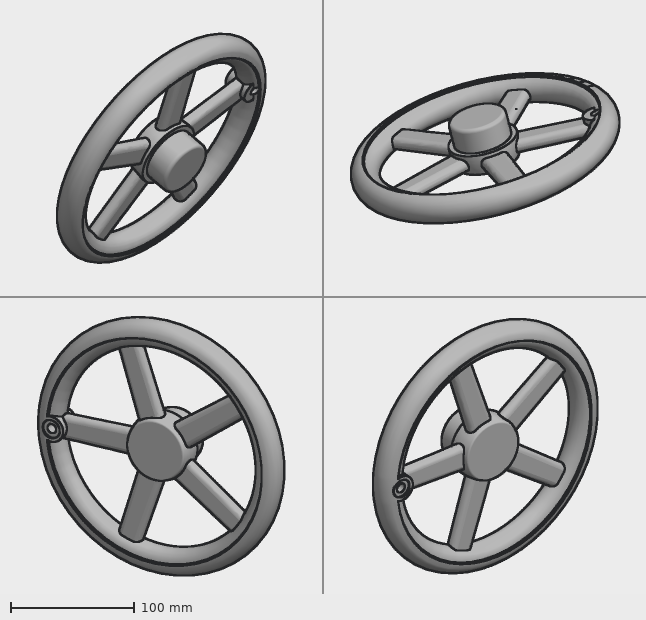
import cadquery as cq
import math

wheel_radius = 112.0
rim_outer_round = 12.5
rim_inner_round = 11.2
rim_step_width = 1.0
rim_center_radius = wheel_radius - rim_outer_round
rim_width = 2 * rim_outer_round
mid_x = rim_outer_round

hub_front_x = 1.8
hub_rear_x = 42.0
hub_face_radius = 26.0
hub_shoulder_radius = 28.7
hub_shoulder_x = 21.0
hub_bulge_x = 7.8
hub_bulge_radius = 27.8
hub_front_fillet = 1.5
boss_radius = 48.0 / 2
boss_fillet = 3.1

spoke_count = 5
spoke_start = 20.2
spoke_end = 94.0
spoke_hub_width = 23.7
spoke_rim_width = 21.5
spoke_hub_depth = 11.2
spoke_rim_depth = 11.0
spoke_rounding = 5.2
spoke_mid_x = 11.9

seat_y = 95.0
seat_radius = 11.2
seat_rear_x = 22.5
handle_hole_diameter = 8.0
counterbore_diameter = 16.0
counterbore_depth = 1.3


def make_rim():
    """Revolve the stepped round section about the X axis."""
    step_radius = rim_center_radius - rim_step_width
    inner_half_width = math.sqrt(rim_inner_round**2 - rim_step_width**2)
    profile = (
        cq.Workplane("XY")
        .moveTo(mid_x - rim_outer_round, rim_center_radius)
        .threePointArc((mid_x, wheel_radius), (mid_x + rim_outer_round, rim_center_radius))
        .lineTo(mid_x + inner_half_width, step_radius)
        .threePointArc((mid_x, rim_center_radius - rim_inner_round), (mid_x - inner_half_width, step_radius))
        .close()
    )
    return profile.revolve(360, (0, 0, 0), (1, 0, 0))


def make_hub():
    """Turn the curved hub and its rear boss as one solid."""
    profile = (
        cq.Workplane("XY")
        .moveTo(hub_front_x, 0)
        .lineTo(hub_front_x, hub_face_radius)
        .threePointArc((hub_bulge_x, hub_bulge_radius), (hub_shoulder_x, hub_shoulder_radius))
        .lineTo(hub_shoulder_x, boss_radius)
        .lineTo(hub_rear_x, boss_radius)
        .lineTo(hub_rear_x, 0)
        .close()
    )
    hub = profile.revolve(360, (0, 0, 0), (1, 0, 0))
    return hub.faces("<X").edges().fillet(hub_front_fillet).faces(">X").edges().fillet(boss_fillet)


def make_spoke():
    """Loft a rounded bar along +Y from the hub into the rim."""
    hub_section = cq.Sketch().rect(spoke_hub_width, spoke_hub_depth).vertices().fillet(spoke_rounding)
    rim_section = cq.Sketch().rect(spoke_rim_width, spoke_rim_depth).vertices().fillet(spoke_rounding)
    spoke_plane = cq.Plane(origin=(spoke_mid_x, spoke_start, 0), xDir=(0, 0, 1), normal=(0, 1, 0))
    return (
        cq.Workplane(spoke_plane)
        .placeSketch(hub_section, rim_section.moved(cq.Location(cq.Vector(0, 0, spoke_end - spoke_start))))
        .loft()
    )


def make_seat():
    """Make the handle seat, trimmed where the outer round of the rim begins."""
    seat = cq.Workplane("YZ").center(seat_y, 0).circle(seat_radius).extrude(seat_rear_x)
    return seat.intersect(cq.Workplane("YZ").circle(rim_center_radius).extrude(rim_width))


def cut_handle_hole(body):
    """Drill the handle hole through the seat and counterbore its front."""
    seat_plane = cq.Workplane("YZ").center(seat_y, 0)
    hole = seat_plane.circle(handle_hole_diameter / 2).extrude(rim_width)
    counterbore = seat_plane.circle(counterbore_diameter / 2).extrude(counterbore_depth)
    return body.cut(hole).cut(counterbore)


wheel = make_rim().union(make_hub())
spoke = make_spoke()
for index in range(spoke_count):
    wheel = wheel.union(spoke.rotate((0, 0, 0), (1, 0, 0), index * 360 / spoke_count))
wheel = wheel.union(make_seat())

result = cut_handle_hole(wheel)